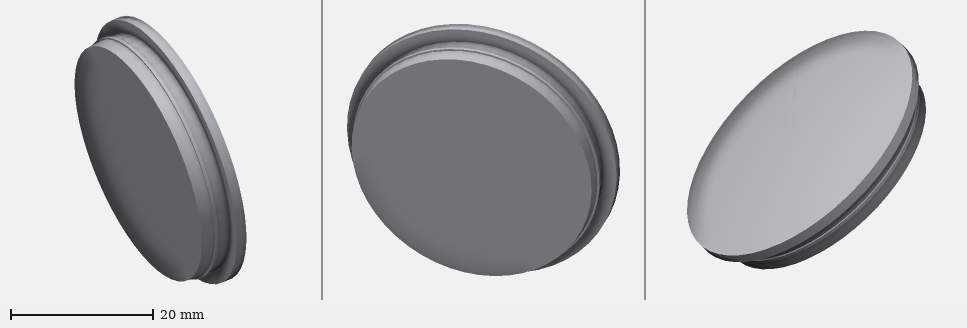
import cadquery as cq

flange_radius = 20.0
plug_radius = 18.0
plug_end_radius = 17.8
ridge_radius = 18.3

dome_height = 1.5
flange_thickness = 1.5
neck_length = 2.0
ridge_width = 0.5
lead_in_length = 2.0

ridge_back = -neck_length
ridge_front = ridge_back - ridge_width
plug_end = ridge_front - lead_in_length
dome_apex = flange_thickness + dome_height

dome_sphere_radius = (flange_radius**2 + dome_height**2) / (2 * dome_height)
dome_centre = dome_apex - dome_sphere_radius
dome_mid_radius = flange_radius / 2
dome_mid_y = dome_centre + (dome_sphere_radius**2 - dome_mid_radius**2) ** 0.5

half_section = (
    cq.Workplane("YZ")
    .moveTo(plug_end, 0)
    .lineTo(plug_end, plug_end_radius)
    .lineTo(ridge_front, plug_radius)
    .lineTo(ridge_front, ridge_radius)
    .lineTo(ridge_back, ridge_radius)
    .lineTo(ridge_back, plug_radius)
    .lineTo(0, plug_radius)
    .lineTo(0, flange_radius)
    .lineTo(flange_thickness, flange_radius)
    .threePointArc((dome_mid_y, dome_mid_radius), (dome_apex, 0))
    .close()
)

result = half_section.revolve(360, (0, 0, 0), (1, 0, 0))